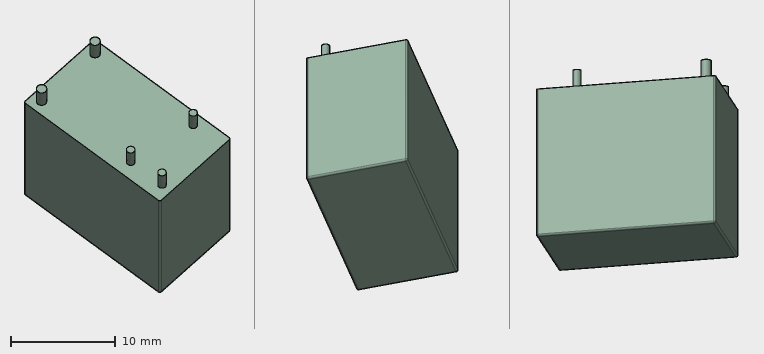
import cadquery as cq

length = 17.6
width = 10.1
total_height = 17.0
pin_length = 2.0
body_height = total_height - pin_length
edge_radius = 0.2

large_pin_diameter = 1.0
small_pin_diameter = 0.81
end_pin_x = 7.62
large_pin_y = 3.82
large_pins = [(-end_pin_x, large_pin_y), (-end_pin_x, -large_pin_y)]

front_pin_y = -3.45
inner_pin_x = 3.57
back_pin_x = 5.07
small_pins = [
    (end_pin_x, front_pin_y),
    (inner_pin_x, front_pin_y),
    (back_pin_x, large_pin_y),
]


def make_body():
    """Box with rounded upright and bottom edges and a sharp top rim."""
    box = cq.Workplane("XY").box(length, width, body_height, centered=(True, True, False))
    return box.edges("|Z or <Z").fillet(edge_radius)


def add_pins(body, places, diameter):
    """Raise round pins from the top face of the body."""
    pins = (
        cq.Workplane("XY", origin=(0, 0, body_height))
        .pushPoints(places)
        .circle(diameter / 2)
        .extrude(pin_length)
    )
    return body.union(pins)


result = make_body()
result = add_pins(result, large_pins, large_pin_diameter)
result = add_pins(result, small_pins, small_pin_diameter)